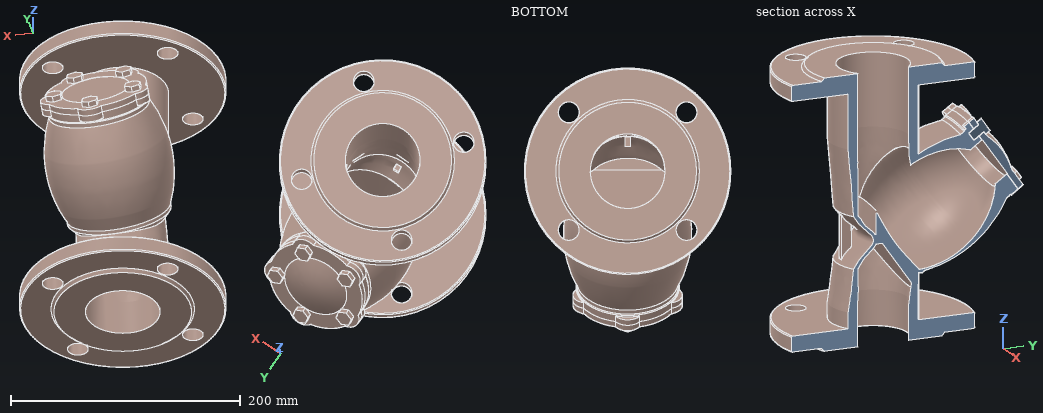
import cadquery as cq
import math

face_to_face = 250.0
pipe_radius = 80.0 / 2
bore_radius = 65.0 / 2
pipe_wall = pipe_radius - bore_radius

flange_radius = 180.0 / 2
flange_thickness = 15.0
flange_edge_chamfer = 1.0
raised_face_height = 3.0
raised_face_base_radius = 125.0 / 2
raised_face_top_radius = 120.0 / 2
flange_hole_diameter = 18.0
flange_hole_circle_radius = 145.0 / 2
flange_hole_count = 4
first_flange_hole_angle = 45

upper_taper_top_z = 56.6
lower_taper_bottom_z = -92.3
waist_z = -29.3
shoulder_half_height = 24.0
shoulder_y = -34.4
bend_half_height = 18.0
bend_y = -29.8
neck_half_height = 10.0
neck_y = -21.7
waist_y = -13.8

rib_width = 5.0
rib_inner_y = -21.7
rib_outer_y = -31.3
rib_top_z = -9.5
rib_bottom_z = -53.0

branch_rise = math.radians(35)
branch_root_z = -41.5
base_start = 8.0
base_full = 17.0
barrel_start = 20.5
barrel_widest = 68.0
barrel_end = 115.5
groove_end = 122.0
ear_start = 123.5
cover_seat = 129.3
cover_top = 135.0
base_small_radius = 38.0
barrel_start_radius = 46.0
barrel_widest_radius = 56.0
mouth_radius = 90.0 / 2
groove_depth = 0.5
groove_side = 1.2
cast_wall = 4.0
mouth_bore_radius = 30.0
floor_centre = 10.6
floor_rim = 17.0
partition_start = 4.0
plug_end = 0.0
plug_end_radius = 24.0

bolt_count = 5
lowest_bolt_angle = 90
ear_radius = 12.5
bolt_circle_radius = 37.0
bolt_diameter = 8.0
bolt_head_across_flats = 13.0
bolt_head_height = 5.0
bolt_length = cover_top - ear_start
dome_radius = 30.0
dome_height = 7.0


def branch_plane(distance):
    """Plane across the branch axis; its local Y points outward on the lower side."""
    along_y = math.cos(branch_rise)
    along_z = math.sin(branch_rise)
    origin = (0, distance * along_y, branch_root_z + distance * along_z)
    return cq.Plane(origin=origin, xDir=(1, 0, 0), normal=(0, along_y, along_z))


def run_section(z, front_y, inset):
    """Oval across the run, reaching from front_y to the pipe's back, drawn in by inset."""
    centre_y = (pipe_radius + front_y) / 2
    half_depth = (pipe_radius - front_y) / 2
    plane = cq.Workplane("XY", origin=(0, centre_y, z))
    return plane.ellipse(pipe_radius - inset, half_depth - inset).wires().val()


def run_pipe(start_z, end_z, inset):
    """Straight round length of the run."""
    return cq.Workplane("XY", origin=(0, 0, start_z)).circle(pipe_radius - inset).extrude(end_z - start_z)


def waist_stations():
    """Heights up the waist, from shoulder to shoulder, each with the Y of the run's front there."""
    half_waist = [
        (neck_half_height, neck_y),
        (bend_half_height, bend_y),
        (shoulder_half_height, shoulder_y),
    ]
    below = [(waist_z - height, front_y) for height, front_y in reversed(half_waist)]
    above = [(waist_z + height, front_y) for height, front_y in half_waist]
    return [*below, (waist_z, waist_y), *above]


def run_through(stations):
    """Run lofted through ovals of given height, front Y and inset; two are joined by straight lines."""
    sections = [run_section(*station) for station in stations]
    return cq.Workplane(cq.Solid.makeLoft(sections, len(stations) == 2))


def run_body(pipe_inset, waist_inset):
    """The whole run from end face to end face, drawn in by the insets."""
    waist = [(z, front_y, waist_inset) for z, front_y in waist_stations()]
    lower_end = (lower_taper_bottom_z, -pipe_radius, pipe_inset)
    upper_end = (upper_taper_top_z, -pipe_radius, pipe_inset)
    body = run_pipe(-face_to_face / 2, lower_taper_bottom_z, pipe_inset)
    body = body.union(run_through([lower_end, waist[0]]))
    body = body.union(run_through(waist))
    body = body.union(run_through([waist[-1], upper_end]))
    return body.union(run_pipe(upper_taper_top_z, face_to_face / 2, pipe_inset))


def end_flange():
    """Flange whose raised face ends at Z = face_to_face / 2."""
    back_z = face_to_face / 2 - raised_face_height - flange_thickness
    flange = cq.Workplane("XY", origin=(0, 0, back_z)).circle(flange_radius).extrude(flange_thickness)
    flange = flange.edges().chamfer(flange_edge_chamfer)
    raised_face = (
        cq.Workplane("XY", origin=(0, 0, back_z + flange_thickness))
        .circle(raised_face_base_radius)
        .workplane(offset=raised_face_height)
        .circle(raised_face_top_radius)
        .loft()
    )
    holes = (
        cq.Workplane("XY", origin=(0, 0, back_z))
        .polarArray(flange_hole_circle_radius, first_flange_hole_angle, 360, flange_hole_count)
        .circle(flange_hole_diameter / 2)
        .extrude(flange_thickness)
    )
    return flange.cut(holes).union(raised_face)


def rib():
    return (
        cq.Workplane("XY", origin=(0, rib_outer_y, rib_bottom_z))
        .box(rib_width, rib_inner_y - rib_outer_y, rib_top_z - rib_bottom_z, centered=(True, False, False))
    )


def branch_profile():
    """Half section plane of the branch: local X is radius, local Y runs along the axis."""
    root = branch_plane(0)
    return cq.Workplane(cq.Plane(origin=root.origin, xDir=(1, 0, 0), normal=root.yDir * -1))


def barrel():
    """Solid barrel: coned base, bulging wall, then a grooved mouth that carries the cover."""
    groove_radius = mouth_radius - groove_depth
    return (
        branch_profile()
        .moveTo(0, base_start)
        .lineTo(base_small_radius, base_start)
        .lineTo(barrel_start_radius, base_full)
        .lineTo(barrel_start_radius, barrel_start)
        .threePointArc((barrel_widest_radius, barrel_widest), (mouth_radius, barrel_end))
        .lineTo(groove_radius, barrel_end + groove_side)
        .lineTo(groove_radius, groove_end - groove_side)
        .lineTo(mouth_radius, groove_end)
        .lineTo(mouth_radius, cover_seat)
        .lineTo(0, cover_seat)
        .close()
        .revolve(360, (0, 0, 0), (0, 1, 0))
    )


def barrel_cavity():
    """Room inside the barrel, with a shallow conical floor."""
    return (
        branch_profile()
        .moveTo(0, floor_centre)
        .lineTo(barrel_start_radius - cast_wall, floor_rim)
        .threePointArc((barrel_widest_radius - cast_wall, barrel_widest), (mouth_bore_radius, barrel_end))
        .lineTo(mouth_bore_radius, cover_seat)
        .lineTo(0, cover_seat)
        .close()
        .revolve(360, (0, 0, 0), (0, 1, 0))
    )


def floor_plug():
    """Solid left standing under the barrel floor, tapering down to close the waist."""
    top = cq.Workplane(branch_plane(floor_rim)).circle(barrel_start_radius - cast_wall)
    depth = floor_rim - plug_end
    return top.workplane(offset=-depth).circle(plug_end_radius).loft()


def upper_passage():
    """Upper bore, carried down round the barrel floor to the waist."""
    above_waist = cq.Workplane("XY", origin=(0, 0, waist_z)).circle(flange_radius).extrude(face_to_face)
    return run_body(pipe_wall, cast_wall).intersect(above_waist).cut(floor_plug())


def lower_passage():
    """Lower bore, carried up to the partition."""
    top_z = waist_z - cast_wall
    below_waist = cq.Workplane("XY", origin=(0, 0, top_z)).circle(flange_radius).extrude(-face_to_face)
    below_partition = cq.Workplane(branch_plane(partition_start)).circle(face_to_face).extrude(-face_to_face)
    return run_body(pipe_wall, cast_wall).intersect(below_waist).intersect(below_partition)


def bolt_points():
    """Bolt places round the branch axis, the first one lowest."""
    angles = [math.radians(lowest_bolt_angle + 360 / bolt_count * i) for i in range(bolt_count)]
    return [(bolt_circle_radius * math.cos(a), bolt_circle_radius * math.sin(a)) for a in angles]


def ears(start, end):
    return cq.Workplane(branch_plane(start)).pushPoints(bolt_points()).circle(ear_radius).extrude(end - start)


def bolt_shanks():
    shanks = cq.Workplane(branch_plane(ear_start)).pushPoints(bolt_points())
    return shanks.circle(bolt_diameter / 2).extrude(bolt_length)


def make_housing():
    body = run_body(0, 0).union(barrel())
    body = body.union(ears(ear_start, cover_seat))
    upper_flange = end_flange()
    body = body.union(upper_flange).union(upper_flange.mirror("XY"))
    body = body.cut(upper_passage()).cut(lower_passage()).cut(barrel_cavity())
    return body.union(rib()).cut(bolt_shanks())


def make_cover():
    """Round cover with bolt ears and a shallow spherical dome."""
    cover = cq.Workplane(branch_plane(cover_seat)).circle(mouth_radius).extrude(cover_top - cover_seat)
    cover = cover.union(ears(cover_seat, cover_top))
    sphere_radius = (dome_radius**2 + dome_height**2) / (2 * dome_height)
    half_way = dome_radius / 2
    half_height = math.sqrt(sphere_radius**2 - half_way**2) - (sphere_radius - dome_height)
    dome = (
        branch_profile()
        .moveTo(0, cover_top)
        .lineTo(dome_radius, cover_top)
        .threePointArc((half_way, cover_top + half_height), (0, cover_top + dome_height))
        .close()
        .revolve(360, (0, 0, 0), (0, 1, 0))
    )
    return cover.union(dome).cut(bolt_shanks())


def make_bolt(point):
    """Hex bolt under whose head the shank reaches to the underside of the housing ears."""
    hexagon_sides = 6
    across_corners = bolt_head_across_flats / math.cos(math.pi / hexagon_sides)
    head = (
        cq.Workplane(branch_plane(cover_top))
        .center(*point)
        .transformed(rotate=(0, 0, lowest_bolt_angle))
        .polygon(hexagon_sides, across_corners)
        .extrude(bolt_head_height)
    )
    shank = cq.Workplane(branch_plane(ear_start)).center(*point).circle(bolt_diameter / 2).extrude(bolt_length)
    return head.union(shank)


housing = make_housing()
cover = make_cover()
bolts = [make_bolt(point) for point in bolt_points()]

result = cq.Compound.makeCompound([housing.val(), cover.val(), *[bolt.val() for bolt in bolts]])